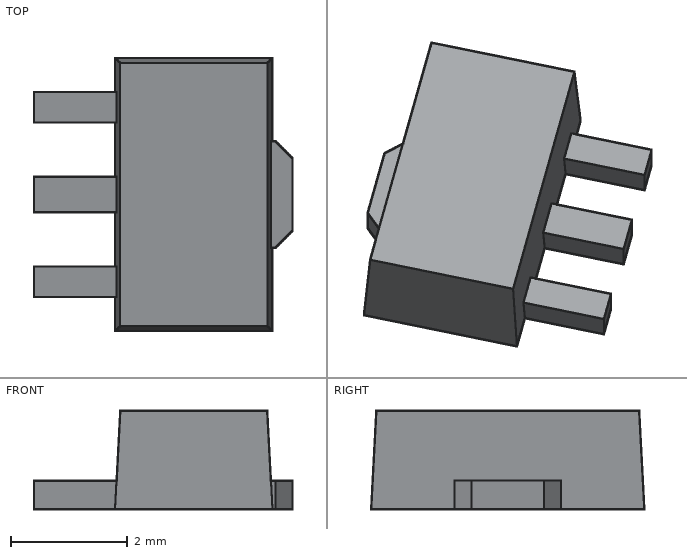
import cadquery as cq

body_length = 2.705
body_width = 4.7
body_height = 1.7
draft_angle = 3.0

metal_thickness = 0.5
lead_reach = 1.395
lead_pitch = 1.5
outer_lead_width = 0.525
middle_lead_width = 0.61
tab_reach = 0.35
tab_width = 1.835
tab_chamfer = 0.295

lead_tip_x = -body_length / 2 - lead_reach
tab_tip_x = body_length / 2 + tab_reach


def make_body():
    base = cq.Workplane("XY").rect(body_length, body_width)
    return base.extrude(body_height, taper=draft_angle)


def make_lead(center_y, width):
    """Straight bar from the lead tip to the middle of the body."""
    return cq.Workplane("XY").box(
        -lead_tip_x, width, metal_thickness, centered=(False, True, False)
    ).translate((lead_tip_x, center_y, 0))


def make_tab():
    """Plate from the middle of the body, with its two outer corners cut off."""
    plate = cq.Workplane("XY").box(
        tab_tip_x, tab_width, metal_thickness, centered=(False, True, False)
    )
    return plate.edges("|Z and >X").chamfer(tab_chamfer)


result = make_body().union(make_tab())
result = result.union(make_lead(0, middle_lead_width))
for side in (-1, 1):
    result = result.union(make_lead(side * lead_pitch, outer_lead_width))